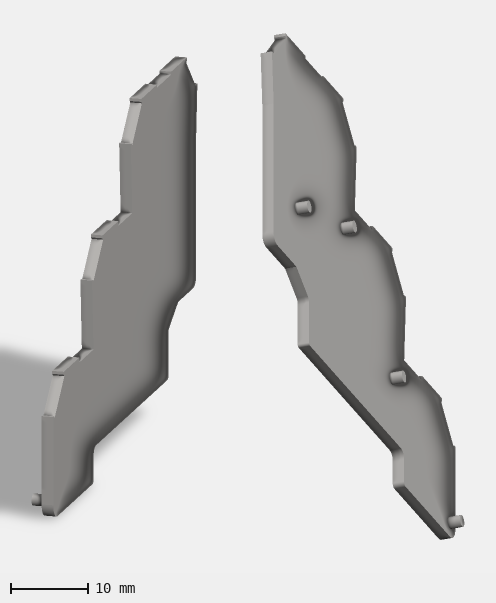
import cadquery as cq

length = 65.65
height = 45.8
plate_thickness = 1.6
peg_length = 1.7
peg_diameter = 1.6

step_run = 17.65
step_drop = 13.6
step_count = 3
bevel_size = 4.8
lip_height = 0.4
bevel_inset = 0.25
tab_length = 7.15
floor_depth = 0.65
recess_depth = 0.4
flank_taper = 0.65

left_side = 0.6
taper_end_height = 33.8
shoulder_height = 14.0
shoulder_end = 8.7
web_start = 13.25
web_slope_height = 11.35
web_height = 4.8
foot_start = 47.3

shoulder_radius = 1.3
slope_radius = 0.8
web_corner_radius = 0.3
web_foot_radius = 1.05
foot_corner_radius = 0.5
end_radius = 2.0

peg_centres = [
    (9.0, 22.45),
    (25.2, 26.9),
    (42.9, 13.3),
    (length - end_radius, end_radius),
]


def bevel_points(corner, top, side):
    """Bevel from tab to flank; side is 1 when the flank faces -Y, -1 when it faces +Y."""
    deep = lip_height + bevel_inset
    near = bevel_size + bevel_inset
    offsets = [
        (bevel_size, 0),
        (bevel_size, lip_height),
        (near, deep),
        (deep, near),
        (lip_height, bevel_size),
        (0, bevel_size),
    ]
    return [(corner - side * inward, top - down) for inward, down in offsets]


def upper_edge():
    """Stepped edge from the +Y flank to the -Y end."""
    points = bevel_points(0, height, -1)[::-1]
    recess_start = bevel_size + tab_length
    points += [(recess_start, height), (recess_start, height - recess_depth)]
    for step in range(step_count):
        corner = length - (step_count - 1 - step) * step_run
        top = height - step * step_drop
        tab_start = corner - bevel_size - tab_length
        floor = top - (recess_depth if step == 0 else floor_depth)
        points += [(tab_start, floor), (tab_start, top)]
        points += bevel_points(corner, top, 1)
        if step < step_count - 1:
            points.append((corner - flank_taper, top - step_drop - floor_depth))
    return points


rounded_corners = [
    ((length, 0), end_radius),
    ((foot_start, 0), foot_corner_radius),
    ((foot_start, web_height), web_foot_radius),
    ((web_start, web_height), web_corner_radius),
    ((web_start, web_slope_height), slope_radius),
    ((left_side, shoulder_height), shoulder_radius),
]


def to_plate_plane(point):
    """Convert distance from the +Y end and height to centred Y, Z."""
    return (length / 2 - point[0], point[1] - height / 2)


def make_plate():
    lower_edge = [corner for corner, radius in rounded_corners]
    lower_edge.insert(-1, (shoulder_end, shoulder_height))
    outline = upper_edge() + lower_edge + [(left_side, taper_end_height)]
    plate = (
        cq.Workplane("YZ")
        .polyline([to_plate_plane(point) for point in outline])
        .close()
        .extrude(plate_thickness)
    )
    for corner, radius in rounded_corners:
        y, z = to_plate_plane(corner)
        edge_middle = (plate_thickness / 2, y, z)
        plate = plate.edges(cq.selectors.NearestToPointSelector(edge_middle)).fillet(radius)
    return plate


def make_pegs():
    """Round locating pegs on the -X face."""
    return (
        cq.Workplane("YZ")
        .pushPoints([to_plate_plane(centre) for centre in peg_centres])
        .circle(peg_diameter / 2)
        .extrude(-peg_length)
    )


assembled = make_plate().union(make_pegs())
result = assembled.translate(((peg_length - plate_thickness) / 2, 0, 0))